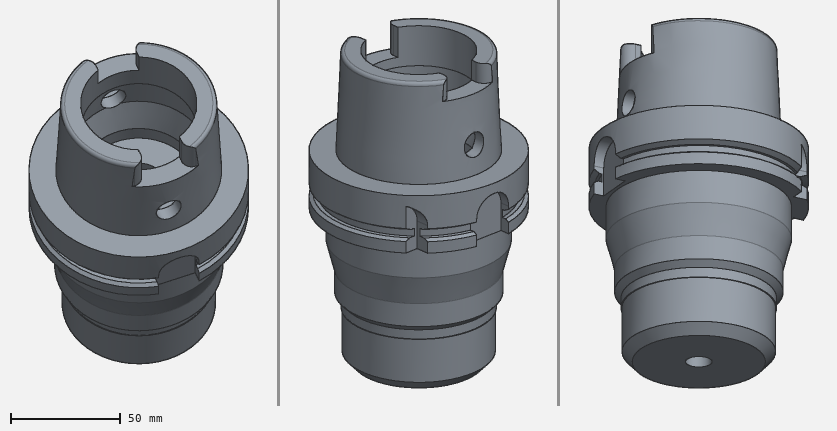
import cadquery as cq
import math

total_height = 155.6
nose_chamfer_top = 5.0
nose_top = 26.8
collar_top = 31.6
shoulder_bottom = 34.5
shoulder_top = 46.0
neck_bottom = 60.8
flange_bottom = 76.7
groove_lip_bottom = 82.5
groove_bottom = 83.5
groove_top = 87.5
groove_lip_top = 89.0
flange_top = 105.7

nose_end_radius = 30.3
nose_radius = 35.0
collar_radius = 35.5
shoulder_radius = 38.5
neck_radius = 42.3
flange_diameter = 100.0
flange_radius = flange_diameter / 2
groove_radius = 46.0
shank_base_radius = 37.8
shank_taper = 0.045
shank_edge_fillet = 1.9

groove_wall_angle = 30.0
groove_wall_slope = math.tan(math.radians(groove_wall_angle))

bore_radius = 26.5
undercut_radius = 31.5
undercut_top = 135.5
undercut_bottom = 115.6
undercut_cone_height = 14.0
bore_bottom = 94.3
coolant_seat_radius = 12.1
coolant_seat_bottom = 84.0
coolant_hole_radius = 6.0

cross_hole_radius = 6.0
cross_hole_height = 120.6

end_slot_width = 20.0
end_slot_floor_left = 145.6
end_slot_floor_right = 140.5
end_slot_corner_radius = 5.0
end_lug_half_width = 32.4

arch_radius = 10.0
arch_center_height = 90.5
drive_slot_floor = 44.0
notch_floor = 32.0
notch_center_y = 41.2


def revolve_outline(points):
    """Solid turned about the Z axis from (radius, height) points."""
    return cq.Workplane("XZ").polyline(points).close().revolve(360, (0, 0), (0, 1))


def make_body():
    """Turned outline of the whole holder."""
    shank_end_radius = shank_base_radius - shank_taper * (total_height - flange_top)
    upper_lip_radius = flange_radius - (groove_lip_top - groove_top) / groove_wall_slope
    lower_lip_radius = flange_radius - (groove_bottom - groove_lip_bottom) / groove_wall_slope
    outline = [
        (0, 0),
        (nose_end_radius, 0),
        (nose_radius, nose_chamfer_top),
        (nose_radius, nose_top),
        (collar_radius, nose_top),
        (collar_radius, collar_top),
        (shoulder_radius, shoulder_bottom),
        (shoulder_radius, shoulder_top),
        (neck_radius, neck_bottom),
        (neck_radius, flange_bottom),
        (flange_radius, flange_bottom),
        (flange_radius, groove_lip_bottom),
        (lower_lip_radius, groove_bottom),
        (groove_radius, groove_bottom),
        (groove_radius, groove_top),
        (upper_lip_radius, groove_top),
        (flange_radius, groove_lip_top),
        (flange_radius, flange_top),
        (shank_base_radius, flange_top),
        (shank_end_radius, total_height),
        (0, total_height),
    ]
    return revolve_outline(outline).faces(">Z").edges().fillet(shank_edge_fillet)


def make_bores():
    """Shank bore with a cone-bottomed undercut, coolant seat and coolant hole."""
    cone_bottom = undercut_bottom - undercut_cone_height
    outline = [
        (0, 0),
        (coolant_hole_radius, 0),
        (coolant_hole_radius, coolant_seat_bottom),
        (coolant_seat_radius, coolant_seat_bottom),
        (coolant_seat_radius, bore_bottom),
        (bore_radius, bore_bottom),
        (bore_radius, cone_bottom),
        (undercut_radius, undercut_bottom),
        (undercut_radius, undercut_top),
        (bore_radius, undercut_top),
        (bore_radius, total_height),
        (0, total_height),
    ]
    return revolve_outline(outline)


def make_cross_hole():
    """Radial hole along X through both shank walls."""
    return (
        cq.Workplane("YZ")
        .center(0, cross_hole_height)
        .circle(cross_hole_radius)
        .extrude(flange_radius, both=True)
    )


def make_end_slot(side, floor):
    """Slot in one shank wall, flaring outward round the ends of the two lugs."""
    half_width = end_slot_width / 2
    lug = end_lug_half_width
    corner = end_slot_corner_radius
    arc_inset = corner * (1 - math.cos(math.radians(45)))
    arc_mid_x = lug - arc_inset
    arc_mid_y = half_width + arc_inset
    return (
        cq.Workplane("XY")
        .workplane(offset=floor)
        .moveTo(0, -half_width)
        .lineTo(side * (lug - corner), -half_width)
        .threePointArc((side * arc_mid_x, -arc_mid_y), (side * lug, -half_width - corner))
        .lineTo(side * lug, -flange_radius)
        .lineTo(side * flange_radius, -flange_radius)
        .lineTo(side * flange_radius, flange_radius)
        .lineTo(side * lug, flange_radius)
        .lineTo(side * lug, half_width + corner)
        .threePointArc((side * arc_mid_x, arc_mid_y), (side * (lug - corner), half_width))
        .lineTo(0, half_width)
        .close()
        .extrude(total_height - floor)
    )


def make_arched_slot(side, floor, center_y):
    """Round-topped slot in the flange, open downward, with a flat floor facing X."""
    return (
        cq.Workplane("YZ")
        .workplane(offset=side * floor)
        .moveTo(center_y - arch_radius, flange_bottom)
        .lineTo(center_y - arch_radius, arch_center_height)
        .threePointArc(
            (center_y, arch_center_height + arch_radius),
            (center_y + arch_radius, arch_center_height),
        )
        .lineTo(center_y + arch_radius, flange_bottom)
        .close()
        .extrude(side * (flange_radius - floor))
    )


result = make_body().cut(make_bores()).cut(make_cross_hole())

for side, slot_floor in ((-1, end_slot_floor_left), (1, end_slot_floor_right)):
    result = result.cut(make_end_slot(side, slot_floor))
    result = result.cut(make_arched_slot(side, drive_slot_floor, 0))

result = result.cut(make_arched_slot(-1, notch_floor, notch_center_y))